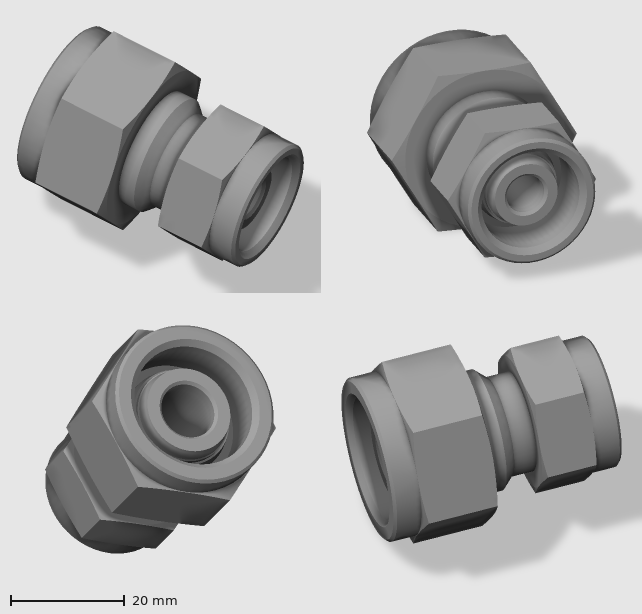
import cadquery as cq
import math

length = 43.35
collar_length = 5.0
large_nut_end = 19.0
small_nut_start = 28.35

large_across_flats = 30.0
small_across_flats = 24.0
large_collar_radius = 14.9
small_collar_radius = 11.9
collar_chamfer = 0.5
hex_chamfer_angle = math.radians(15)
mouth_chamfer = 1.05
bore_clearance = 0.1
shoulder_depth = 10.4

large_body_radius = 11.0
small_body_radius = 9.05
taper_start = 22.15
taper_end = 24.25
large_passage_radius = 5.0
small_passage_radius = 3.5
passage_chamfer = 0.5
passage_taper_length = 0.85

annular_gap = 3.3
tip_depth = 3.2
first_barb_length = 2.6
first_barb_rise = 0.55
first_barb_shoulder = 0.2
second_barb_depth = 6.95
second_barb_step = 0.4
second_barb_length = 2.15
second_barb_rise = 0.48


def revolve_about_x(points):
    """Turn a closed outline of (x, radius) points about the X axis."""
    return cq.Workplane("XY").polyline(points).close().revolve(axisStart=(0, 0, 0), axisEnd=(1, 0, 0))


def mirror_end(points):
    """Reverse an outline and move it to the opposite end of the fitting."""
    return [(length - x, radius) for x, radius in reversed(points)]


def make_nut(across_flats, nut_length, collar_radius, body_radius):
    """Union nut with its open end at X = 0 and its inner end face at X = nut_length."""
    flat_radius = across_flats / 2
    corner_radius = flat_radius / math.cos(math.radians(30))
    corner_setback = (corner_radius - flat_radius) * math.tan(hex_chamfer_angle)

    hexagon = (
        cq.Workplane("YZ")
        .workplane(offset=collar_length)
        .polygon(6, 2 * corner_radius)
        .extrude(nut_length - collar_length)
    )
    corner_trim = revolve_about_x([
        (collar_length, 0),
        (collar_length, flat_radius),
        (collar_length + corner_setback, corner_radius),
        (nut_length - corner_setback, corner_radius),
        (nut_length, flat_radius),
        (nut_length, 0),
    ])
    collar = revolve_about_x([
        (0, 0),
        (0, collar_radius - collar_chamfer),
        (collar_chamfer, collar_radius),
        (collar_length, collar_radius),
        (collar_length, 0),
    ])

    bore_radius = body_radius + bore_clearance
    opening = revolve_about_x([
        (0, 0),
        (0, bore_radius + mouth_chamfer),
        (mouth_chamfer, bore_radius),
        (shoulder_depth, bore_radius),
        (shoulder_depth, body_radius),
        (nut_length, body_radius),
        (nut_length, 0),
    ])
    return hexagon.intersect(corner_trim).union(collar).cut(opening)


def stub_outline(body_radius, passage_radius):
    """Half outline of a barbed stub at X = 0, from its passage out to the body shoulder."""
    tip_radius = body_radius + bore_clearance - annular_gap
    first_barb_end = tip_depth + first_barb_length
    first_barb_radius = tip_radius + first_barb_rise
    land_radius = first_barb_radius + first_barb_shoulder
    second_barb_base = land_radius + second_barb_step
    second_barb_end = second_barb_depth + second_barb_length
    second_barb_radius = second_barb_base + second_barb_rise
    return [
        (tip_depth + passage_chamfer, passage_radius),
        (tip_depth, passage_radius + passage_chamfer),
        (tip_depth, tip_radius),
        (first_barb_end, first_barb_radius),
        (first_barb_end + first_barb_shoulder, land_radius),
        (second_barb_depth, land_radius),
        (second_barb_depth, second_barb_base),
        (second_barb_end, second_barb_radius),
        (shoulder_depth, second_barb_radius),
        (shoulder_depth, body_radius),
    ]


def make_body():
    """Reducing body: barbed stubs, a tapered waist and a stepped passage."""
    large_stub = stub_outline(large_body_radius, large_passage_radius)
    small_stub = mirror_end(stub_outline(small_body_radius, small_passage_radius))
    waist = [(taper_start, large_body_radius), (taper_end, small_body_radius)]
    passage = [
        (taper_start + passage_taper_length, small_passage_radius),
        (taper_start, large_passage_radius),
    ]
    return revolve_about_x(large_stub + waist + small_stub + passage)


body = make_body()
large_nut = make_nut(large_across_flats, large_nut_end, large_collar_radius, large_body_radius)
small_nut = (
    make_nut(small_across_flats, length - small_nut_start, small_collar_radius, small_body_radius)
    .mirror("YZ")
    .translate((length, 0, 0))
)

result = cq.Compound.makeCompound([body.val(), large_nut.val(), small_nut.val()])